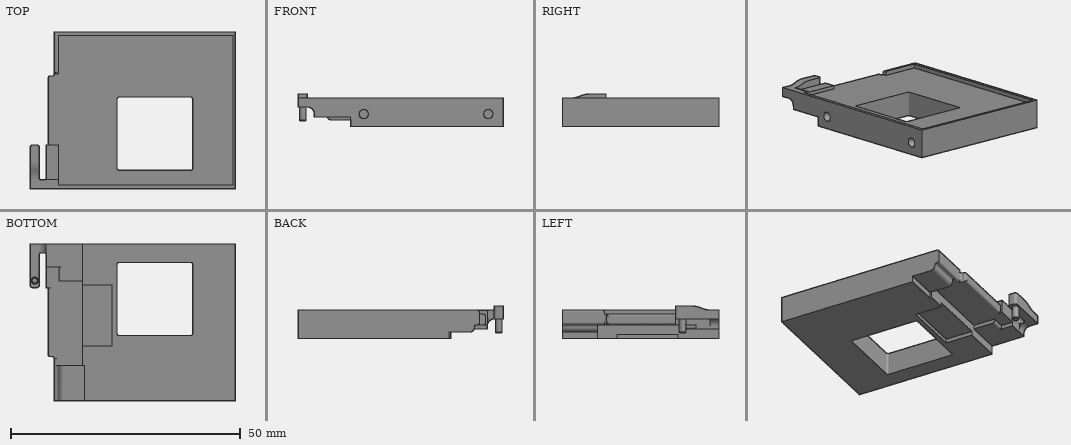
import cadquery as cq
import math

LENGTH = 44.75
WIDTH = 34.2
TOP = 6.25
FLOOR = 5.35
FRONT_RIM = 0.8
BACK_RIM = 0.8
END_RIM = 0.6
RIM_INNER_X = 6.17

BODY_X = 11.45
SHELF_BOTTOM = 3.0
SHELF_X = 3.95
SHELF_END_Y = 24.55
SHELF_TOP_ROUND = 0.55
SHELF_BOTTOM_ROUND = 0.5
SHELF_CORNER = 0.45
BACK_X = 5.25
BACK_RIM_Y = 24.95
BACK_ROUND = 0.5
BACK_SETBACK = 0.45

RIB_X = 6.3
RIB_Y = 26.55
RIB_BOTTOM = 1.45
RIB_ROUND = 1.0
RIB_COVE = SHELF_BOTTOM - RIB_BOTTOM - RIB_ROUND

ARM_WIDTH = 2.0
ARM_BOTTOM = 4.25
FINGER_WIDTH = 2.05
FINGER_TIP_Y = 9.57
FINGER_TOP = 7.1
FINGER_FLAT_Y = 5.8
FINGER_CORNER = 0.63
SLOT_CORNER = 0.25
ARM_COVE = 1.45
BLOCK_X = FINGER_WIDTH + ARM_COVE
BLOCK_TOP = 6.15
FOOT_BOTTOM = 2.05
FOOT_Y = 5.0
LEDGE_END_Y = 8.05
LEDGE_ROUND = 0.45

PIN_DIAMETER = 1.5
PIN_Y = 8.0
PIN_BOTTOM = 1.25
PIN_CHAMFER = 0.2
HOLE_DIAMETER = 2.0
HOLE_X = (14.3, 41.45)
HOLE_Z = 2.75
HOLE_DEPTH = 2.7
WINDOW_X = (18.95, 35.45)
WINDOW_Y = (4.05, 19.95)
WINDOW_CORNER = 0.45
CHANNEL_Y = (8.95, 22.3)
CHANNEL_END_X = 17.9
CHANNEL_DEPTH = 0.95


def box(x0, x1, y0, y1, z0, z1):
    """Box between opposite corner coordinates."""
    return cq.Workplane("XY").box(x1 - x0, y1 - y0, z1 - z0, centered=False).translate((x0, y0, z0))


def make_body():
    """Thick body with the raised rim along three sides."""
    body = box(BODY_X, LENGTH, 0, WIDTH, 0, TOP)
    recess = box(RIM_INNER_X, LENGTH - END_RIM, FRONT_RIM, WIDTH - BACK_RIM, FLOOR, TOP)
    setback = box(BODY_X, BODY_X + BACK_SETBACK, RIB_Y, WIDTH, 0, RIB_BOTTOM)
    back = box(BACK_X, BODY_X, BACK_RIM_Y, WIDTH, SHELF_BOTTOM, TOP)
    side_rounded = back.edges("<X and |Y").fillet(BACK_ROUND)
    end_rounded = back.edges("<Y and >Z").fillet(BACK_ROUND)
    return body.union(side_rounded.intersect(end_rounded)).cut(recess).cut(setback)


def make_shelf():
    """Thin shelf with rounded left edges, stepping in behind its back corner."""
    shelf = box(SHELF_X, BODY_X, ARM_WIDTH, SHELF_END_Y, SHELF_BOTTOM, FLOOR)
    rounded_plan = shelf.edges("|Z and <X and >Y").fillet(SHELF_CORNER)
    shelf = shelf.faces(">Z").edges("<X").fillet(SHELF_TOP_ROUND)
    shelf = shelf.faces("<Z").edges("<X").fillet(SHELF_BOTTOM_ROUND).intersect(rounded_plan)
    return shelf.union(box(BACK_X, BODY_X, SHELF_END_Y, BACK_RIM_Y, SHELF_BOTTOM, FLOOR))


def make_step_corner():
    """Concave corner where the shelf steps in to the back edge."""
    size = BACK_RIM_Y - SHELF_END_Y
    corner = box(BACK_X - size, BACK_X, SHELF_END_Y, BACK_RIM_Y, SHELF_BOTTOM, FLOOR)
    round_cut = (
        cq.Workplane("XY", origin=(BACK_X - size, BACK_RIM_Y, 0)).circle(size).extrude(TOP)
    )
    return corner.cut(round_cut)


def make_rib():
    """Rib under the back shelf: a cove at its root and a rounded lower edge."""
    diagonal = math.sqrt(0.5)
    cove_x = RIB_X - RIB_COVE
    cove_z = SHELF_BOTTOM - RIB_COVE
    round_x = RIB_X + RIB_ROUND
    return (
        cq.Workplane("XZ", origin=(0, WIDTH, 0))
        .moveTo(BODY_X, SHELF_BOTTOM)
        .lineTo(cove_x, SHELF_BOTTOM)
        .threePointArc(
            (cove_x + RIB_COVE * diagonal, cove_z + RIB_COVE * diagonal), (RIB_X, cove_z)
        )
        .threePointArc(
            (round_x - RIB_ROUND * diagonal, cove_z - RIB_ROUND * diagonal), (round_x, RIB_BOTTOM)
        )
        .lineTo(BODY_X, RIB_BOTTOM)
        .close()
        .extrude(WIDTH - RIB_Y)
    )


def make_arm():
    """Front arm, its cove, and the block and foot that join it to the body."""
    arm = box(0, BODY_X, 0, ARM_WIDTH, ARM_BOTTOM, TOP)
    recess = box(RIM_INNER_X, BODY_X, FRONT_RIM, ARM_WIDTH, FLOOR, TOP)
    foot = box(BLOCK_X, BODY_X, 0, FOOT_Y, FOOT_BOTTOM, FLOOR)
    block = box(BLOCK_X, RIM_INNER_X, ARM_WIDTH, FINGER_TIP_Y, SHELF_BOTTOM, BLOCK_TOP)
    ledge = box(RIB_X, BODY_X, FOOT_Y, LEDGE_END_Y, FOOT_BOTTOM, SHELF_BOTTOM)
    ledge = ledge.edges("<X and <Z").fillet(LEDGE_ROUND)
    cove = box(FINGER_WIDTH, BLOCK_X, 0, ARM_WIDTH, ARM_BOTTOM - ARM_COVE, ARM_BOTTOM)
    cove_cut = (
        cq.Workplane("XZ", origin=(FINGER_WIDTH, ARM_WIDTH, ARM_BOTTOM - ARM_COVE))
        .circle(ARM_COVE)
        .extrude(ARM_WIDTH)
    )
    return arm.cut(recess).union(foot).union(block).union(ledge).union(cove.cut(cove_cut))


def make_finger():
    """Finger rising from the arm in an S-curve of two equal arcs."""
    middle = ((ARM_WIDTH + FINGER_FLAT_Y) / 2, (TOP + FINGER_TOP) / 2)
    finger = (
        cq.Workplane("YZ")
        .moveTo(0, ARM_BOTTOM)
        .lineTo(0, TOP)
        .lineTo(ARM_WIDTH, TOP)
        .tangentArcPoint(middle, relative=False)
        .tangentArcPoint((FINGER_FLAT_Y, FINGER_TOP), relative=False)
        .lineTo(FINGER_TIP_Y, FINGER_TOP)
        .lineTo(FINGER_TIP_Y, ARM_BOTTOM)
        .close()
        .extrude(FINGER_WIDTH)
    )
    return finger.edges("|Z and >Y").fillet(FINGER_CORNER)


def make_slot_corners():
    """Small concave corners at the closed end of the finger slot."""
    corner_end_y = ARM_WIDTH + SLOT_CORNER
    fill = box(FINGER_WIDTH, BLOCK_X, ARM_WIDTH, corner_end_y, ARM_BOTTOM, BLOCK_TOP)
    gap = box(FINGER_WIDTH, BLOCK_X, ARM_WIDTH, FINGER_TIP_Y, ARM_BOTTOM, BLOCK_TOP)
    return fill.cut(gap.edges("|Z and <Y").fillet(SLOT_CORNER))


def make_pin():
    """Locating pin hanging below the finger."""
    pin = (
        cq.Workplane("XY", origin=(FINGER_WIDTH / 2, PIN_Y, PIN_BOTTOM))
        .circle(PIN_DIAMETER / 2)
        .extrude(ARM_BOTTOM - PIN_BOTTOM)
    )
    return pin.faces("<Z").chamfer(PIN_CHAMFER)


def make_window():
    """Through window with rounded corners."""
    return box(*WINDOW_X, *WINDOW_Y, 0, TOP).edges("|Z").fillet(WINDOW_CORNER)


def make_holes():
    """Blind holes in the front face."""
    return (
        cq.Workplane("XZ")
        .pushPoints([(x, HOLE_Z) for x in HOLE_X])
        .circle(HOLE_DIAMETER / 2)
        .extrude(-HOLE_DEPTH)
    )


result = make_body()
for added in (
    make_shelf(),
    make_step_corner(),
    make_rib(),
    make_arm(),
    make_finger(),
    make_slot_corners(),
    make_pin(),
):
    result = result.union(added)

channel = box(BODY_X, CHANNEL_END_X, *CHANNEL_Y, 0, CHANNEL_DEPTH)
for removed in (make_window(), make_holes(), channel):
    result = result.cut(removed)